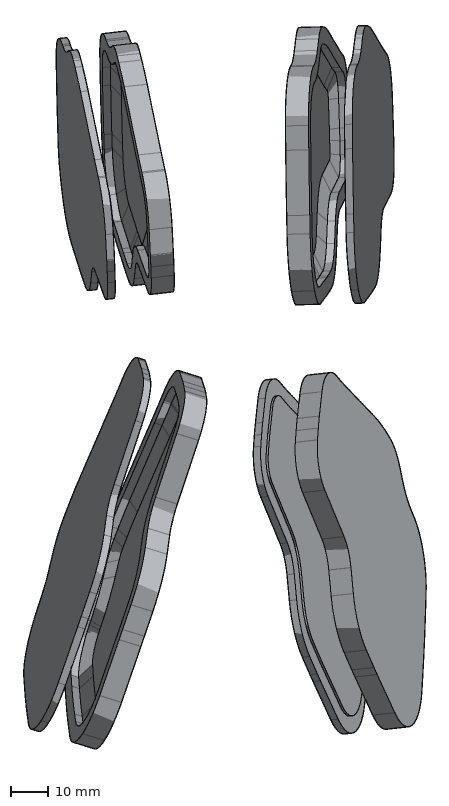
import cadquery as cq
import math

LENGTH = 93.35
HEIGHT = 80.5
TURN = -34.2
STACK_DEPTH = 18.2

COVER_THICKNESS = 2.1
LIP_HEIGHT = 0.6

BASE_THICKNESS = 6.3
POCKET_INSET = 4.6
POCKET_WALL_DEPTH = 2.2
POCKET_SLOPE_DEPTH = 2.2
POCKET_SLOPE = 66
FLOOR_INSET = POCKET_INSET + POCKET_SLOPE_DEPTH * math.tan(math.radians(POCKET_SLOPE))

LIP_CLEARANCE = 0.0
LIP_INSET = POCKET_INSET + LIP_CLEARANCE

CORNERS = [
    (-1.1, 57.8, 18.6),
    (16.8, 65.4, 19.0),
    (26.1, 77.3, 14.4),
    (39.25, 79.8, 54.2),
    (72.8, 80.1, 87.4),
    (86.5, 81.2, 12.2),
    (92.0, 62.0, 43.7),
    (94.75, 47.9, 11.2),
    (65.9, 34.4, 11.1),
    (59.8, 14.2, 19.6),
    (43.4, 7.25, 87.4),
    (20.2, -1.7, 16.6),
    (5.2, 5.8, 18.35),
    (1.5, 28.85, 262.2),
]


def corner_arc(before, corner, after, inset):
    """Start, middle and end of the arc rounding one corner, moved into the outline by `inset`."""
    vertex = cq.Vector(corner[0], corner[1])
    radius = corner[2]
    to_before = (cq.Vector(before[0], before[1]) - vertex).normalized()
    to_after = (cq.Vector(after[0], after[1]) - vertex).normalized()
    bisector = (to_before + to_after).normalized()
    half_angle = to_before.getAngle(to_after) / 2
    setback = radius / math.tan(half_angle)
    center = vertex + bisector * (radius / math.sin(half_angle))
    points = (vertex + to_before * setback, center - bisector * radius, vertex + to_after * setback)

    turns_right = to_before.cross(to_after).z > 0
    inset_radius = radius - inset if turns_right else radius + inset
    return [center + (point - center) * (inset_radius / radius) for point in points]


def outline(workplane, inset=0):
    """Closed outline on the workplane, shrunk evenly by `inset`."""
    afters = CORNERS[1:] + CORNERS[:1]
    befores = CORNERS[-1:] + CORNERS[:-1]
    arcs = [corner_arc(*corners, inset) for corners in zip(befores, CORNERS, afters)]
    first_point = arcs[0][0]
    path = workplane.moveTo(first_point.x, first_point.y)
    for (start, middle, end), (next_start, _, _) in zip(arcs, arcs[1:] + arcs[:1]):
        path = path.threePointArc((middle.x, middle.y), (end.x, end.y))
        if next_start is not first_point:
            path = path.lineTo(next_start.x, next_start.y)
    return path.close()


def upright_plane(depth):
    """Front-facing workplane at the given depth, with the outline's corner at its origin."""
    return cq.Workplane("XZ", origin=(-LENGTH / 2, depth, -HEIGHT / 2))


def make_cover():
    front = -STACK_DEPTH / 2
    sheet = outline(upright_plane(front)).extrude(-COVER_THICKNESS)
    lip = outline(upright_plane(front + COVER_THICKNESS), LIP_INSET).extrude(-LIP_HEIGHT)
    return sheet.union(lip)


def make_base():
    front = STACK_DEPTH / 2 - BASE_THICKNESS
    plate = outline(upright_plane(front)).extrude(-BASE_THICKNESS)
    recess = outline(upright_plane(front), POCKET_INSET).extrude(-POCKET_WALL_DEPTH)
    slope_top = outline(upright_plane(front + POCKET_WALL_DEPTH), POCKET_INSET)
    dish = outline(slope_top.workplane(offset=-POCKET_SLOPE_DEPTH), FLOOR_INSET).loft(ruled=True)
    return plate.cut(recess).cut(dish)


def turn_into_place(body):
    return body.rotate((0, 0, 0), (0, 0, 1), TURN)


cover = turn_into_place(make_cover())
base = turn_into_place(make_base())
result = cq.Compound.makeCompound([cover.val(), base.val()])